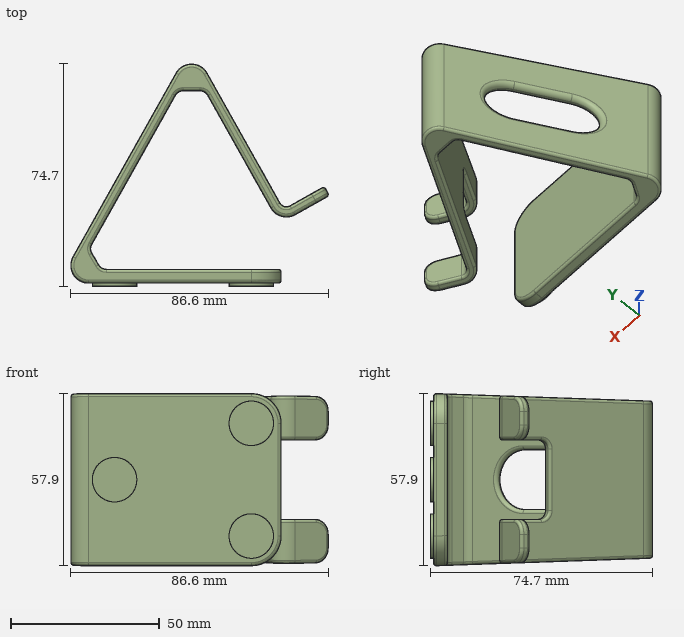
import cadquery as cq
import math

total_length = 86.6
base_width = 58.0
taper_angle = 2.0

corner_radius = 6.0
inner_radius = 3.0
leg_thickness = 3.5
base_thickness = 4.7
base_length = 70.75
apex_x = 40.6
apex_top = 73.7
web_offset = 3.0
front_leg_length = 50.05

edge_radius = 1.0
base_corner_radius = 10.05
hook_corner_radius = 5.0
gap_width = 26.7
gap_top = 39.0
gap_corner_radius = 3.0
window_width = 20.0
window_length = 40.0
window_y = 40.5
window_rounding = 2.0
window_inner_rounding = 1.4
foot_diameter = 15.0
foot_thickness = 1.0
rear_foot_x = 14.7

lip_margin = 0.9
sharp_limit = 0.2

heel = cq.Vector(corner_radius, corner_radius)
apex = cq.Vector(apex_x, apex_top - corner_radius)
rise = (apex - heel).normalized()
back_normal = cq.Vector(-rise.y, rise.x)
fall = cq.Vector(rise.x, -rise.y)
front_normal = cq.Vector(rise.y, rise.x)
bend_inner_radius = corner_radius - leg_thickness
bend = apex + front_normal * (corner_radius + bend_inner_radius) + fall * front_leg_length
hook_length = edge_radius + (
    total_length - edge_radius - bend.x - fall.x * (corner_radius - edge_radius)
) / front_normal.x


def line_crossing(point_a, direction_a, point_b, direction_b):
    """Point where two lines, each given by a point and a direction, cross."""
    gap = point_b - point_a
    reach = gap.cross(direction_b).z / direction_a.cross(direction_b).z
    return point_a + direction_a * reach


def make_strip():
    """Bent strip, as wide as the base, with rounded bends and thickened corners."""
    x_dir = cq.Vector(1, 0)
    back_outer = heel + back_normal * corner_radius
    back_inner = back_outer - back_normal * leg_thickness
    front_outer = apex + front_normal * corner_radius
    front_inner = front_outer - front_normal * leg_thickness
    base_inner = cq.Vector(0, base_thickness)
    hook_upper = bend + fall * bend_inner_radius
    hook_lower = bend + fall * corner_radius

    heel_axis = (rise + x_dir).normalized()
    heel_flat = heel + heel_axis * web_offset
    heel_flat_dir = cq.Vector(heel_axis.y, -heel_axis.x)
    apex_flat = apex - cq.Vector(0, web_offset)

    outer_corners = [
        line_crossing(back_outer, rise, heel * 0, x_dir),
        line_crossing(back_outer, rise, front_outer, fall),
        line_crossing(front_inner, fall, hook_lower, front_normal),
    ]
    bend_inner = line_crossing(front_outer, fall, hook_upper, front_normal)
    inner_corners = [
        line_crossing(front_inner, fall, apex_flat, x_dir),
        line_crossing(back_inner, rise, apex_flat, x_dir),
        line_crossing(back_inner, rise, heel_flat, heel_flat_dir),
        line_crossing(base_inner, x_dir, heel_flat, heel_flat_dir),
    ]
    outline = [
        outer_corners[0],
        outer_corners[1],
        bend_inner,
        hook_upper + front_normal * hook_length,
        hook_lower + front_normal * hook_length,
        outer_corners[2],
        *inner_corners,
        cq.Vector(base_length, base_thickness),
        cq.Vector(base_length, 0),
    ]
    strip = (
        cq.Workplane("XY")
        .polyline([(p.x, p.y) for p in outline])
        .close()
        .extrude(base_width / 2, both=True)
    )
    roundings = [(corner, corner_radius) for corner in outer_corners]
    roundings += [(corner, inner_radius) for corner in inner_corners]
    roundings.append((bend_inner, bend_inner_radius))
    for corner, radius in roundings:
        strip = strip.edges(cq.NearestToPointSelector(corner.toTuple())).fillet(radius)
    return strip


def side_envelope():
    """Space between the two sloping sides, narrowing with height."""
    half = base_width / 2
    half_top = half - apex_top * math.tan(math.radians(taper_angle))
    return (
        cq.Workplane("YZ")
        .polyline([(0, -half), (apex_top, -half_top), (apex_top, half_top), (0, half)])
        .close()
        .extrude(2 * total_length)
    )


def round_base_corners(body):
    """Round the two free corners of the base."""
    lip = cq.selectors.BoxSelector(
        (base_length - lip_margin, -lip_margin, -base_width),
        (base_length + lip_margin, base_thickness + lip_margin, base_width),
    )
    return body.edges(lip).edges("not |Z").fillet(base_corner_radius)


def leg_plane(origin, direction, normal):
    """Work plane on a leg, with its local x along the leg."""
    return cq.Plane(origin=origin.toTuple(), xDir=direction.toTuple(), normal=normal.toTuple())


def gap_cutter():
    """Block with two rounded corners that splits the lower front leg into two hooks."""
    face_point = apex + front_normal * corner_radius
    start = face_point + fall * ((face_point.y - gap_top) / -fall.y)
    length = front_leg_length
    depth = hook_length + corner_radius
    return (
        cq.Workplane(leg_plane(start - front_normal * corner_radius, fall, front_normal))
        .center(length / 2, 0)
        .rect(length, gap_width)
        .extrude(depth + corner_radius)
        .edges(cq.ParallelDirSelector(front_normal))
        .edges(">Y")
        .fillet(gap_corner_radius)
    )


def round_hook_corners(body):
    """Round the corners at the tips of both hooks."""
    tips = body.faces(cq.DirectionMinMaxSelector(front_normal, True))
    return tips.edges("not |Z").fillet(hook_corner_radius)


def is_sharp(edge, faces):
    """True where the two faces that share the edge meet at an angle."""
    middle = edge.positionAt(0.5)
    normals = [f.normalAt(middle) for f in faces if any(edge.isSame(e) for e in f.Edges())]
    return normals[0].cross(normals[-1]).Length > sharp_limit


def soften(body):
    """Round every sharp edge of the strip."""
    faces = body.faces().vals()
    sharp = [edge for edge in body.edges().vals() if is_sharp(edge, faces)]
    return body.newObject(sharp).fillet(edge_radius)


def cut_window(body):
    """Rounded slot through the back leg, with a larger rounding on its outer edge."""
    outer = heel + back_normal * corner_radius
    center = outer + rise * ((window_y - outer.y) / rise.y)
    slot = (
        cq.Workplane(leg_plane(center, rise, back_normal))
        .slot2D(window_length, window_width)
        .extrude(-leg_thickness)
    )
    body = body.cut(slot)
    for normal, radius in ((back_normal, window_rounding), (-back_normal, window_inner_rounding)):
        face = next(f for f in body.faces().vals() if f.innerWires() and f.normalAt().dot(normal) > 0)
        body = body.newObject(face.innerWires()[0].Edges()).fillet(radius)
    return body


def foot(x, z):
    """Round pad under the base."""
    return cq.Workplane("XZ", origin=(x, 0, z)).circle(foot_diameter / 2).extrude(foot_thickness)


def add_feet(body):
    """One pad near the heel and one concentric with each rounded corner of the base."""
    front_x = base_length - base_corner_radius
    front_z = base_width / 2 - base_corner_radius
    for x, z in ((rear_foot_x, 0), (front_x, front_z), (front_x, -front_z)):
        body = body.union(foot(x, z))
    return body


result = make_strip().intersect(side_envelope())
result = round_base_corners(result)
result = round_hook_corners(result.cut(gap_cutter()))
result = soften(result)
result = cut_window(result)
result = add_feet(result)